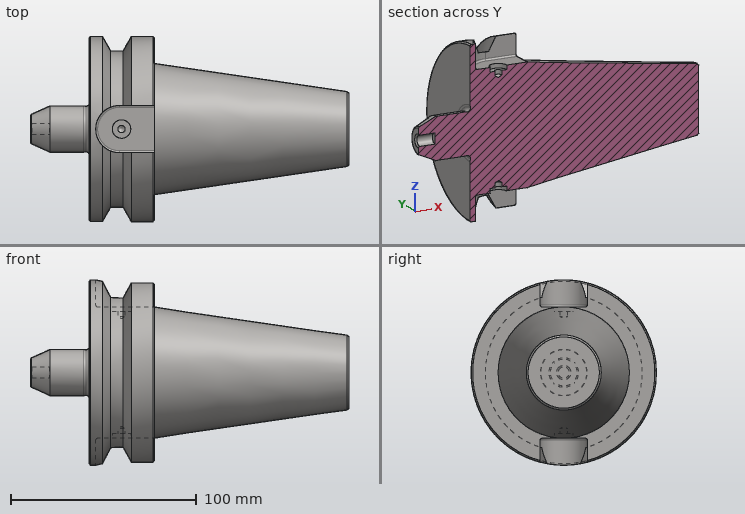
import cadquery as cq
import math

total_length = 171.8
cone_end = 10.7
undercut_start = 28.7
undercut_end = 29.9
face_x = 31.6
groove_front = 43.3
groove_rear = 50.0
flange_rear = 66.8

nose_tip_radius = 7.7
nose_radius = 12.5
undercut_radius = 12.4
flange_radius = 50.0
groove_radius = 42.3
taper_large_radius = 35.4
face_relief_radius = 15.8

nose_chamfer = 0.5
nose_slope = (nose_radius - nose_tip_radius) / cone_end
flange_chamfer = 0.9
rear_chamfer = 1.0
undercut_fillet = 2.0
groove_wall_angle = math.radians(30)
taper_slope = 7 / 48

slot_width = 25.5
slot_floor_z = 35.4
slot_start = 35.2
slot_floor_fillet = 1.0
screw_x = 49.1
screw_recess_diameter = 10.0
screw_recess_depth = 2.5
screw_hole_diameter = 4.0
screw_hole_depth = 2.5
drill_tip_angle = math.radians(59)

centre_hole_diameter = 6.0
centre_hole_depth = 10.3
centre_hole_chamfer = 0.9


def make_body():
    """Nose, grooved flange and taper as one revolved profile."""
    wall_run = (flange_radius - groove_radius) * math.tan(groove_wall_angle)
    taper_end = total_length - rear_chamfer
    taper_end_radius = taper_large_radius - taper_slope * (taper_end - flange_rear)
    arc_mid_x = undercut_end + undercut_fillet * math.sin(math.pi / 4)
    arc_mid_radius = undercut_radius + undercut_fillet * (1 - math.cos(math.pi / 4))
    profile = (
        cq.Workplane("XY")
        .moveTo(0, 0)
        .lineTo(0, nose_tip_radius - nose_chamfer)
        .lineTo(nose_chamfer, nose_tip_radius + nose_slope * nose_chamfer)
        .lineTo(cone_end, nose_radius)
        .lineTo(undercut_start, nose_radius)
        .lineTo(undercut_end, undercut_radius)
        .threePointArc(
            (arc_mid_x, arc_mid_radius),
            (undercut_end + undercut_fillet, undercut_radius + undercut_fillet),
        )
        .lineTo(face_x, face_relief_radius)
        .lineTo(face_x, flange_radius - flange_chamfer)
        .lineTo(face_x + flange_chamfer, flange_radius)
        .lineTo(groove_front - wall_run, flange_radius)
        .lineTo(groove_front, groove_radius)
        .lineTo(groove_rear, groove_radius)
        .lineTo(groove_rear + wall_run, flange_radius)
        .lineTo(flange_rear - flange_chamfer, flange_radius)
        .lineTo(flange_rear, flange_radius - flange_chamfer)
        .lineTo(flange_rear, taper_large_radius)
        .lineTo(taper_end, taper_end_radius)
        .lineTo(total_length, taper_end_radius - rear_chamfer)
        .lineTo(total_length, 0)
        .close()
    )
    return profile.revolve(360, (0, 0, 0), (1, 0, 0))


def make_screw_hole():
    """Flat recess with a small drilled hole in its floor."""
    hole_radius = screw_hole_diameter / 2
    recess_floor = slot_floor_z - screw_recess_depth
    hole_floor = recess_floor - screw_hole_depth
    tip_z = hole_floor - hole_radius / math.tan(drill_tip_angle)
    return (
        cq.Workplane("XZ")
        .moveTo(0, tip_z)
        .lineTo(hole_radius, hole_floor)
        .lineTo(hole_radius, recess_floor)
        .lineTo(screw_recess_diameter / 2, recess_floor)
        .lineTo(screw_recess_diameter / 2, slot_floor_z)
        .lineTo(0, slot_floor_z)
        .close()
        .revolve(360, (0, 0, 0), (0, 1, 0))
        .translate((screw_x, 0, 0))
    )


def make_slot_cutter():
    """Round-ended drive slot on the +Z side, open to the rear, with its screw hole."""
    half_width = slot_width / 2
    arc_centre_x = slot_start + half_width
    open_end = flange_rear + half_width
    slot = (
        cq.Workplane("XY", origin=(0, 0, slot_floor_z))
        .moveTo(open_end, -half_width)
        .lineTo(arc_centre_x, -half_width)
        .threePointArc((slot_start, 0), (arc_centre_x, half_width))
        .lineTo(open_end, half_width)
        .close()
        .extrude(flange_radius - slot_floor_z)
        .faces("<Z")
        .edges()
        .fillet(slot_floor_fillet)
    )
    return slot.union(make_screw_hole())


def make_centre_hole():
    """Blind hole in the nose tip with a chamfered mouth."""
    radius = centre_hole_diameter / 2
    return (
        cq.Workplane("XY")
        .lineTo(0, radius + centre_hole_chamfer)
        .lineTo(centre_hole_chamfer, radius)
        .lineTo(centre_hole_depth, radius)
        .lineTo(centre_hole_depth, 0)
        .close()
        .revolve(360, (0, 0, 0), (1, 0, 0))
    )


result = make_body().cut(make_centre_hole())
slot_cutter = make_slot_cutter()
for angle in (0, 180):
    result = result.cut(slot_cutter.rotate((0, 0, 0), (1, 0, 0), angle))